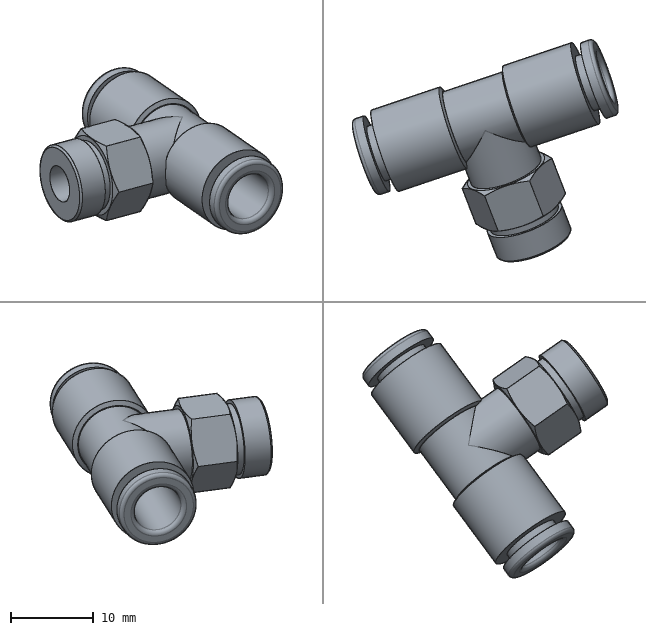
import cadquery as cq
import math

run_length = 31.0
collar_length = 1.52
collar_radius = 4.85
collar_outer_fillet = 0.45
collar_mouth_fillet = 0.55
neck_length = 1.12
neck_radius = 3.5
sleeve_radius = 5.2
sleeve_inner_x = 3.85
sleeve_chamfer_length = 0.25
sleeve_chamfer_depth = 0.6
body_radius = 4.53

tube_radius = 2.95
tube_seat_x = sleeve_inner_x
bore_radius = 2.25
slot_width = 1.02

branch_end = 17.48
nut_start = 7.4
nut_end = 13.02
nut_across_flats = 10.0
nut_chamfer_angle = 25.0
nut_face_radius = 4.95
relief_radius = 4.37
spigot_start = 13.98
spigot_radius = 4.8
spigot_chamfer = 0.25

half_run = run_length / 2
collar_inner_x = half_run - collar_length
sleeve_outer_x = collar_inner_x - neck_length


def x_cylinder(radius, start, end):
    """Cylinder on the run axis between two X positions."""
    return cq.Workplane("YZ", origin=(start, 0, 0)).circle(radius).extrude(end - start)


def branch_cylinder(radius, start, end):
    """Cylinder on the branch axis between two distances toward -Y."""
    return cq.Workplane("XZ", origin=(0, -start, 0)).circle(radius).extrude(end - start)


def tube_socket():
    """Space for the inserted tube at the +X end."""
    return x_cylinder(tube_radius, tube_seat_x, half_run)


def push_in_end():
    """Sleeve, neck and rounded release collar of the +X end, with its tube socket."""
    sleeve_profile = [
        (sleeve_inner_x, 0),
        (sleeve_inner_x, sleeve_radius - sleeve_chamfer_depth),
        (sleeve_inner_x + sleeve_chamfer_length, sleeve_radius),
        (sleeve_outer_x, sleeve_radius),
        (sleeve_outer_x, 0),
    ]
    sleeve = (
        cq.Workplane("XY").polyline(sleeve_profile).close()
        .revolve(360, (0, 0, 0), (1, 0, 0))
    )
    neck = x_cylinder(neck_radius, sleeve_outer_x, collar_inner_x)
    collar = x_cylinder(collar_radius, collar_inner_x, half_run)
    collar = collar.faces(">X").edges().fillet(collar_outer_fillet)
    end = sleeve.union(neck).union(collar).cut(tube_socket())
    mouth = cq.selectors.RadiusNthSelector(0)
    return end.faces(">X").edges(mouth).fillet(collar_mouth_fillet)


def hex_nut():
    """Hexagon with corners on the X axis and both ends turned to a cone."""
    corner_radius = nut_across_flats / math.sqrt(3)
    nut = (
        cq.Workplane("XZ", origin=(0, -nut_start, 0))
        .polygon(6, 2 * corner_radius).extrude(nut_end - nut_start)
    )
    cone_length = (corner_radius - nut_face_radius) * math.tan(math.radians(nut_chamfer_angle))
    turned_profile = [
        (0, -nut_start),
        (nut_face_radius, -nut_start),
        (corner_radius, -nut_start - cone_length),
        (corner_radius, -nut_end + cone_length),
        (nut_face_radius, -nut_end),
        (0, -nut_end),
    ]
    turned = (
        cq.Workplane("XY").polyline(turned_profile).close()
        .revolve(360, (0, 0, 0), (0, 1, 0))
    )
    return nut.intersect(turned)


def branch():
    """Stem, hexagon, relief groove and chamfered spigot."""
    stem = branch_cylinder(body_radius, 0, nut_start)
    relief = branch_cylinder(relief_radius, nut_end, spigot_start)
    spigot = branch_cylinder(spigot_radius, spigot_start, branch_end)
    spigot = spigot.faces("<Y").edges().chamfer(spigot_chamfer)
    return stem.union(hex_nut()).union(relief).union(spigot)


def passages():
    """Tube sockets, the narrower bore between them, its -Y slot and the branch bore."""
    sockets = tube_socket().union(tube_socket().mirror("YZ"))
    bore = x_cylinder(bore_radius, -tube_seat_x, tube_seat_x)
    slot = (
        cq.Workplane("XY")
        .box(2 * tube_seat_x, tube_radius, slot_width, centered=(True, False, True))
        .translate((0, -tube_radius, 0))
        .intersect(x_cylinder(tube_radius, -tube_seat_x, tube_seat_x))
    )
    branch_bore = branch_cylinder(bore_radius, 0, branch_end)
    return sockets.union(bore).union(slot).union(branch_bore)


right_end = push_in_end()
body = x_cylinder(body_radius, -sleeve_inner_x, sleeve_inner_x)
result = (
    body.union(right_end)
    .union(right_end.mirror("YZ"))
    .union(branch())
    .cut(passages())
)